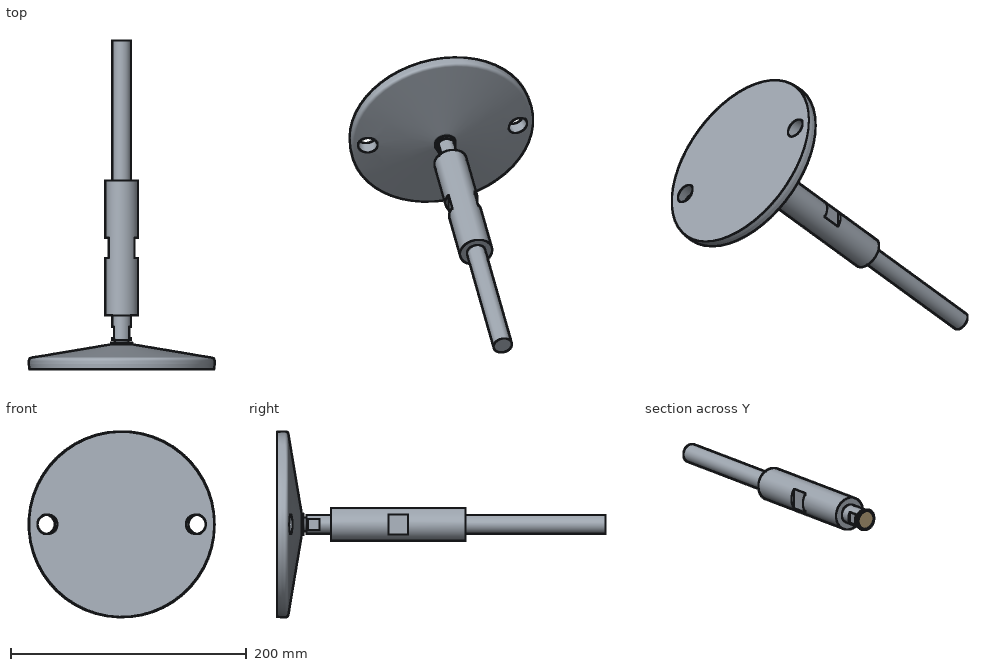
import cadquery as cq
import math

TOTAL_LENGTH = 279.0

PLATE_DIAMETER = 157.98
BASE_DIAMETER = 157.0
TAPER_HEIGHT = 4.1
BAND_TOP = 7.0
SHOULDER_RADIUS = 3.0
CONE_ANGLE = math.radians(9.5)
CONE_TOP_RADIUS = 10.0

WAIST_RADIUS = 8.0
RING_RADIUS = 9.0
WAIST_HEIGHT = 0.7
RING_HEIGHT = 0.9

HOLE_DIAMETER = 16.5
HOLE_OFFSET = 62.9
HOLE_REACH = 60.0

SPINDLE_DIAMETER = 16.0
NECK_DIAMETER = 12.0
COLLAR_BOTTOM = 25.0
SPINDLE_FLAT_START = 26.5
SPINDLE_FLAT_LENGTH = 9.5
SPINDLE_ACROSS_FLATS = 13.0

SLEEVE_DIAMETER = 28.0
SLEEVE_START = 45.8
SLEEVE_LENGTH = 114.4
SLEEVE_FLAT_LENGTH = 16.8
SLEEVE_ACROSS_FLATS = 22.2

plate_radius = PLATE_DIAMETER / 2
shoulder_center_x = plate_radius - SHOULDER_RADIUS


def shoulder_point(angle):
    """Point on the shoulder arc, at an angle measured from the radial direction."""
    return (
        shoulder_center_x + SHOULDER_RADIUS * math.cos(angle),
        BAND_TOP + SHOULDER_RADIUS * math.sin(angle),
    )


shoulder_sweep = math.pi / 2 - CONE_ANGLE
cone_start = shoulder_point(shoulder_sweep)
cone_top = cone_start[1] + (cone_start[0] - CONE_TOP_RADIUS) * math.tan(CONE_ANGLE)
ring_bottom = cone_top + WAIST_HEIGHT
foot_top = ring_bottom + RING_HEIGHT
ring_tip = (RING_RADIUS, ring_bottom + RING_HEIGHT / 2)


def cylinder(diameter, start, end):
    """Round bar along +Y between two heights."""
    plane = cq.Plane(origin=(0, start, 0), xDir=(1, 0, 0), normal=(0, 1, 0))
    return cq.Workplane(plane).circle(diameter / 2).extrude(end - start)


def cut_flats(body, diameter, across, start, length):
    """Mill a pair of wrench flats on the -X and +X sides of a round body."""
    depth = (diameter - across) / 2
    for side in (-1, 1):
        cutter = cq.Workplane("XY").box(2 * depth, length, diameter)
        body = body.cut(cutter.translate((side * (across / 2 + depth), start + length / 2, 0)))
    return body


def make_foot():
    """Conical foot plate with tapered rim, ringed top and two tilted bolt holes."""
    foot = (
        cq.Workplane("XY")
        .lineTo(BASE_DIAMETER / 2, 0)
        .lineTo(plate_radius, TAPER_HEIGHT)
        .lineTo(plate_radius, BAND_TOP)
        .threePointArc(shoulder_point(shoulder_sweep / 2), cone_start)
        .lineTo(CONE_TOP_RADIUS, cone_top)
        .lineTo(WAIST_RADIUS, cone_top)
        .lineTo(WAIST_RADIUS, ring_bottom)
        .lineTo(RING_RADIUS - RING_HEIGHT / 2, ring_bottom)
        .threePointArc(ring_tip, (RING_RADIUS - RING_HEIGHT / 2, foot_top))
        .lineTo(0, foot_top)
        .close()
        .revolve(360, (0, 0, 0), (0, 1, 0))
    )
    for side in (-1, 1):
        axis = cq.Vector(side * math.sin(CONE_ANGLE), math.cos(CONE_ANGLE), 0)
        start = cq.Vector(side * HOLE_OFFSET, 0, 0) - axis * (HOLE_REACH / 2)
        foot = foot.cut(cq.Workplane(cq.Solid.makeCylinder(HOLE_DIAMETER / 2, HOLE_REACH, start, axis)))
    return foot


def make_spindle():
    """Rod standing on the foot: narrow neck, then one diameter up to the end, with flats."""
    rod = cylinder(SPINDLE_DIAMETER, COLLAR_BOTTOM, TOTAL_LENGTH)
    rod = cut_flats(rod, SPINDLE_DIAMETER, SPINDLE_ACROSS_FLATS, SPINDLE_FLAT_START, SPINDLE_FLAT_LENGTH)
    return rod.union(cylinder(NECK_DIAMETER, foot_top, COLLAR_BOTTOM))


def make_sleeve():
    """Tube around the spindle, with wrench flats at mid length."""
    end = SLEEVE_START + SLEEVE_LENGTH
    flat_start = SLEEVE_START + (SLEEVE_LENGTH - SLEEVE_FLAT_LENGTH) / 2
    sleeve = cylinder(SLEEVE_DIAMETER, SLEEVE_START, end)
    sleeve = cut_flats(sleeve, SLEEVE_DIAMETER, SLEEVE_ACROSS_FLATS, flat_start, SLEEVE_FLAT_LENGTH)
    return sleeve.cut(cylinder(SPINDLE_DIAMETER, SLEEVE_START, end))


foot = make_foot()
spindle = make_spindle()
sleeve = make_sleeve()

result = cq.Compound.makeCompound([foot.val(), spindle.val(), sleeve.val()])